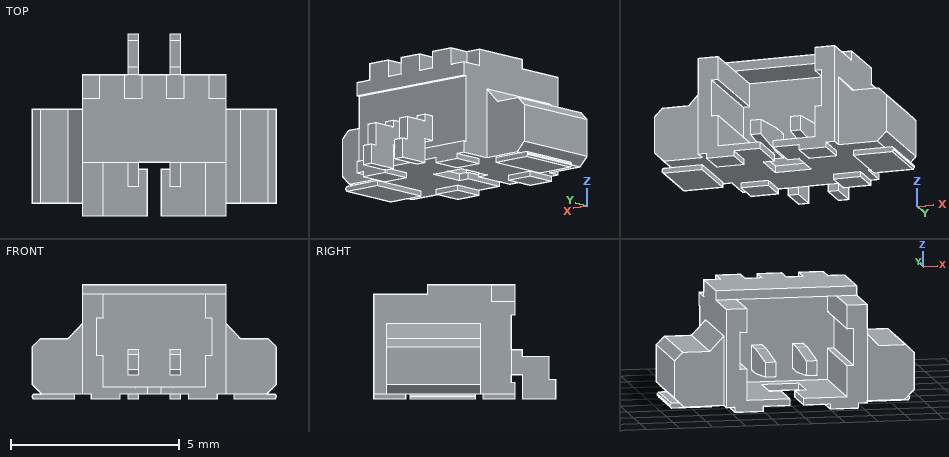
import cadquery as cq


overall_width = 7.25
overall_depth = 5.41
overall_height = 3.4

housing_width = 4.26
housing_depth = 4.2
standoff = 0.15
wall_top = 3.12
lid_front = 1.595

cavity_width = 3.03
cavity_depth = 2.995
floor_top = 0.355
groove_width = 3.43
groove_bottom = 1.3
groove_top = 2.41

slot_width = 0.41
window_width = 1.12
window_front = 1.39
window_back = 2.54

notch_width = 0.51
notch_depth = 0.7
notch_bottom = 2.9
recess_depth = 0.11
recess_bottom = 0.5
recess_top = 2.495

wing_front = 0.38
wing_back = 3.175
wing_top = 1.8
wing_top_chamfer = 0.25
wing_bottom_chamfer = 0.28
wing_gusset_width = 0.43
wing_gusset_height = 0.45

pad_length = 1.26
pad_front = 1.07
pad_back = 3.02
pad_chamfer_x = 0.04
pad_chamfer_z = 0.06

foot_inner = 1.015
foot_outer = 1.87
foot_depth = 0.96

pin_pitch = 1.25
pin_width = 0.32
pin_bottom = 0.725
pin_top = 1.47
pin_taper = 0.15
pin_tip = 0.87
pin_taper_end = 2.35
tail_inner = 4.415
tail_shoulder_top = 1.27
tail_shoulder_back = 5.205
tail_foot_top = 0.59

pin_positions = [-pin_pitch / 2, pin_pitch / 2]
half_width = overall_width / 2
half_housing = housing_width / 2


def block(x_range, y_range, z_range):
    """Axis-aligned box given by its limits along each axis."""
    size = [end - start for start, end in (x_range, y_range, z_range)]
    corner = (x_range[0], y_range[0], z_range[0])
    return cq.Workplane("XY").box(*size, centered=False).translate(corner)


def centered_block(width, y_range, z_range, x_center=0.0):
    """Box centred on x_center along X."""
    x_range = (x_center - width / 2, x_center + width / 2)
    return block(x_range, y_range, z_range)


def extrude_along_y(points, y_front, y_back):
    """Closed XZ outline extruded from y_front to y_back."""
    plane = cq.Workplane("XZ", origin=(0, y_front, 0))
    return plane.polyline(points).close().extrude(y_front - y_back)


def with_mirror(solid):
    """The solid together with its mirror image across X = 0."""
    return solid.union(solid.mirror("YZ"))


def make_housing():
    full_depth = (0, housing_depth)
    body = centered_block(housing_width, full_depth, (standoff, wall_top))
    lid = centered_block(housing_width, (lid_front, housing_depth), (wall_top, overall_height))
    body = body.union(lid)

    cavity_y = (0, cavity_depth)
    body = body.cut(centered_block(cavity_width, cavity_y, (floor_top, wall_top)))
    body = body.cut(centered_block(groove_width, cavity_y, (groove_bottom, groove_top)))

    floor_z = (standoff, floor_top)
    body = body.cut(centered_block(slot_width, (0, window_front), floor_z))
    body = body.cut(centered_block(window_width, (window_front, window_back), floor_z))

    recess_y = (housing_depth - recess_depth, housing_depth)
    return body.cut(centered_block(housing_width, recess_y, (recess_bottom, recess_top)))


def make_notches():
    """Cutters at both rear top corners and above each pin."""
    corner_offset = half_housing - notch_width / 2
    notches = cq.Workplane("XY")
    for x in [-corner_offset, *pin_positions, corner_offset]:
        notch_y = (housing_depth - notch_depth, housing_depth)
        notches = notches.add(centered_block(notch_width, notch_y, (notch_bottom, overall_height), x))
    return notches.combine()


def make_wings():
    outline = [
        (half_housing, standoff),
        (half_width - wing_bottom_chamfer, standoff),
        (half_width, standoff + wing_bottom_chamfer),
        (half_width, wing_top - wing_top_chamfer),
        (half_width - wing_top_chamfer, wing_top),
        (half_housing + wing_gusset_width, wing_top),
        (half_housing, wing_top + wing_gusset_height),
    ]
    return with_mirror(extrude_along_y(outline, wing_front, wing_back))


def make_pads():
    outline = [
        (half_width - pad_length, 0),
        (half_width - pad_chamfer_x, 0),
        (half_width, pad_chamfer_z),
        (half_width, standoff - pad_chamfer_z),
        (half_width - pad_chamfer_x, standoff),
        (half_width - pad_length, standoff),
    ]
    return with_mirror(extrude_along_y(outline, pad_front, pad_back))


def make_feet():
    foot_x = (foot_inner, foot_outer)
    front = block(foot_x, (0, foot_depth), (0, standoff))
    rear = block(foot_x, (housing_depth - foot_depth, housing_depth), (0, standoff))
    return with_mirror(front.union(rear))


def make_pin(x_center):
    """Tapered contact running through the rear wall to a stepped solder tail."""
    outline = [
        (pin_tip, pin_bottom + pin_taper),
        (pin_taper_end, pin_bottom),
        (tail_inner, pin_bottom),
        (tail_inner, 0),
        (overall_depth, 0),
        (overall_depth, tail_foot_top),
        (tail_shoulder_back, tail_foot_top),
        (tail_shoulder_back, tail_shoulder_top),
        (tail_inner, tail_shoulder_top),
        (tail_inner, pin_top),
        (pin_taper_end, pin_top),
        (pin_tip, pin_top - pin_taper),
    ]
    plane = cq.Workplane("YZ", origin=(x_center - pin_width / 2, 0, 0))
    return plane.polyline(outline).close().extrude(pin_width)


result = make_housing().cut(make_notches())
for feature in [make_wings(), make_pads(), make_feet()]:
    result = result.union(feature)
for pin_x in pin_positions:
    result = result.union(make_pin(pin_x))